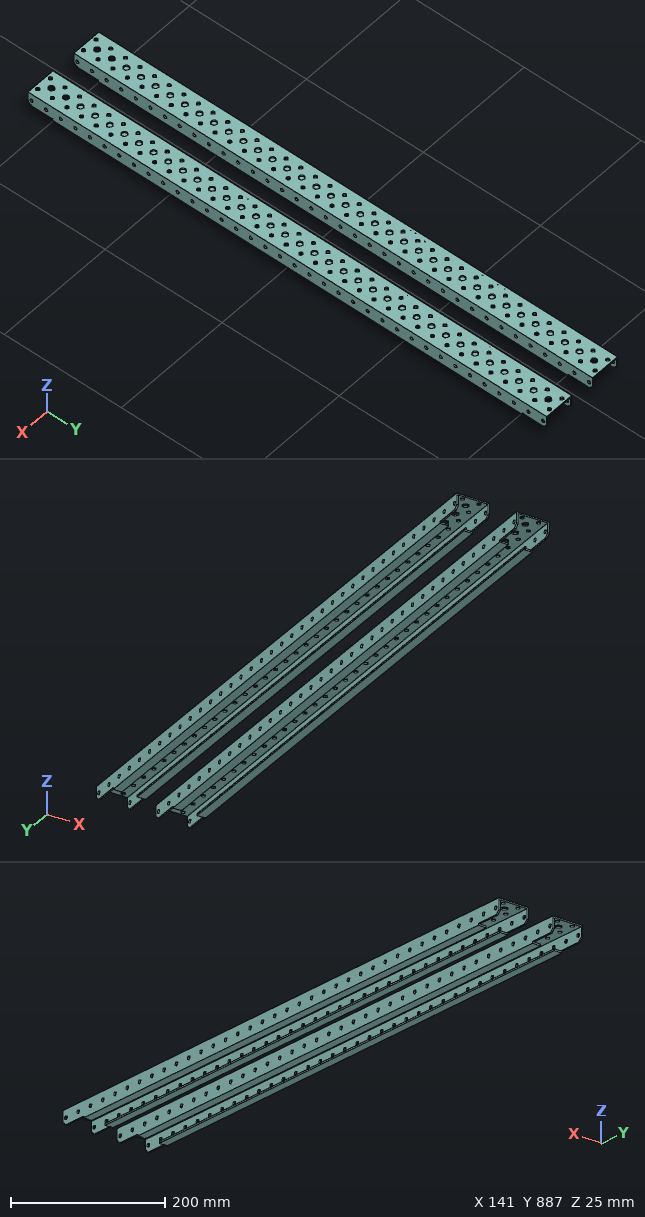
import cadquery as cq

length = 887.0
overall_width = 141.0
hole_rows = 36
end_margin = 0.25
pitch = length / (hole_rows - 1 + 2 * end_margin)

width = 2 * pitch
height = pitch
wall = 2.5
lip_width = 13.0
lip_relief = 42.0
corner_bevel = 5.0

small_diameter = 5.0
large_diameter = 9.0
side_diameter = 4.9

channel_spacing = overall_width - width
web_top = height / 2


def channel_blank():
    """Inverted C section: web on top, two flanges and two inward lips."""
    outer = cq.Workplane("XY").box(width, length, height)
    cavity = cq.Workplane("XY").box(width - 2 * wall, length, height - 2 * wall)
    mouth = (
        cq.Workplane("XY")
        .box(width - 2 * lip_width, length, height / 2)
        .translate((0, 0, -height / 4))
    )
    return outer.cut(cavity).cut(mouth)


def lip_reliefs():
    """Blocks that remove the lips at both ends of the channel."""
    return (
        cq.Workplane("XY", origin=(0, 0, -height / 2))
        .pushPoints([(0, side * (length - lip_relief) / 2) for side in (-1, 1)])
        .box(width, lip_relief, wall, centered=(True, True, False))
    )


def corner_cutters():
    """Prisms that bevel the lower end corner of the flanges at both ends."""
    end_y = length / 2
    bottom_z = wall - height / 2
    near_end = (
        cq.Workplane("YZ")
        .polyline(
            [
                (-end_y, bottom_z),
                (-end_y + corner_bevel, bottom_z),
                (-end_y, bottom_z + corner_bevel),
            ]
        )
        .close()
        .extrude(width / 2, both=True)
    )
    return near_end.union(near_end.mirror("XZ"))


def web_holes():
    """Two rows of small holes with a row of large holes staggered between them."""
    web = cq.Workplane("XY", origin=(0, 0, web_top - wall))
    small = web.rarray(pitch, pitch, 2, hole_rows).circle(small_diameter / 2).extrude(wall)
    large = web.rarray(pitch, pitch, 1, hole_rows - 1).circle(large_diameter / 2).extrude(wall)
    return small.add(large).combine()


def side_holes():
    """Cross holes through both flanges at mid height."""
    return (
        cq.Workplane("YZ")
        .rarray(pitch, pitch, hole_rows, 1)
        .circle(side_diameter / 2)
        .extrude(width / 2, both=True)
    )


def channel(center_x):
    body = channel_blank().cut(lip_reliefs()).cut(corner_cutters())
    body = body.cut(web_holes()).cut(side_holes())
    return body.translate((center_x, 0, 0))


channels = [channel(side * channel_spacing / 2) for side in (-1, 1)]
result = cq.Compound.makeCompound([body.val() for body in channels])